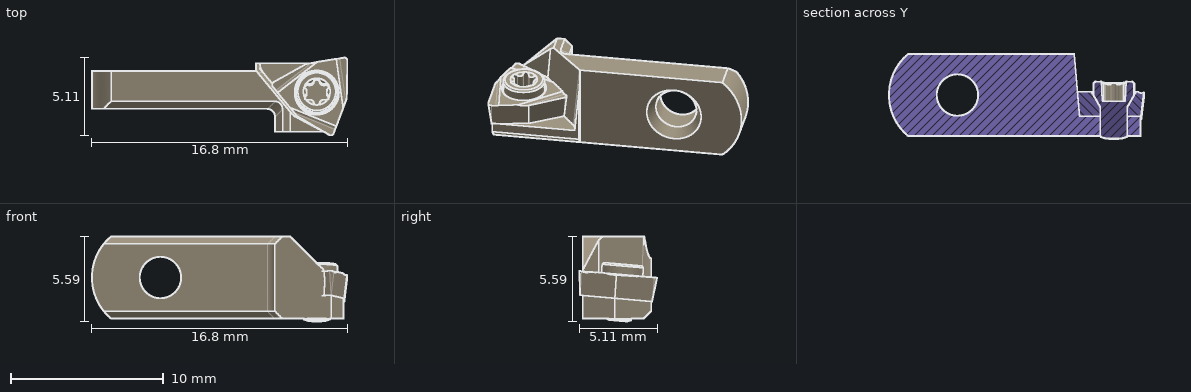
import cadquery as cq
import math


HEIGHT = 5.4
SHANK_FRONT = 1.5
SHANK_BACK = 4.0
SHANK_END_RADIUS = 3.5
HOLE_X = 4.5
HOLE_DIAMETER = 2.7
HOLE_SINK_DEPTH = 0.8
HOLE_SINK_HALF_ANGLE = 30
HEAD_FRONT_X = 12.0
HEAD_BACK_X = 10.75
HEAD_BACK = 4.5
STEP_FILLET = 0.5
EDGE_CHAMFER = 0.5
SLOPE_START_X = 13.0
HEAD_END_SETBACK = 0.04

INSCRIBED_RADIUS = 1.988
THICKNESS = 1.59
RELIEF_ANGLE = 7
NOSE_RADIUS = 0.2
TIPS = 3
TIP_SPACING = 360 / TIPS
TIP_ANGLE = 80
TIP_DIRECTION = 49.4
CUTTING_TIP = 0
FRONT_TIP = 1
REAR_TIP = 2
CORNER_OFFSET = TIP_SPACING / 2
EDGE_NORMAL_OFFSET = 90 - TIP_ANGLE / 2
CORNER_TO_NORMAL = CORNER_OFFSET - EDGE_NORMAL_OFFSET
RELIEF = math.tan(math.radians(RELIEF_ANGLE))
FLOOR_INRADIUS = INSCRIBED_RADIUS - THICKNESS * RELIEF

GROOVE_SKEW = 8.5
GROOVE_START = 1.57
GROOVE_VALLEY = 1.785
GROOVE_OUTER = 2.6
GROOVE_DEPTH = 0.07
RAKE_ANGLE = 8

SEAT_TILT = 5
SEAT_ORIGIN = (14.745, 2.44, 1.31)
POCKET_BACK_X = 11.02
POCKET_END_LEAN = 5.5
POCKET_CORNER_RADIUS = 0.95
FRONT_WALL_LEAN = 2.5
FRONT_WALL_INSET = 0.05
BEYOND = 6.0

SCREW_HEAD_RADIUS = 1.36
HEAD_PROUD = 0.68
HEAD_EDGE_CHAMFER = 0.12
SINK_RADIUS = 1.46
SINK_HALF_ANGLE = 30
SCREW_RADIUS = 0.87
SCREW_BELOW_SEAT = 1.455
SCREW_TIP_CHAMFER_LENGTH = 0.1
SCREW_TIP_CHAMFER_WIDTH = 0.3
LOBES = 6
FIRST_LOBE_DIRECTION = 90
LOBE_RADIUS = 0.89
RIDGE_RADIUS = 0.64
LOBE_FLANK_RADIUS = 0.76
LOBE_HALF_ANGLE = 14
SOCKET_DEPTH = 1.3
SOCKET_CHAMFER_RADIUS = 0.88
SOCKET_CHAMFER_DEPTH = 0.15


def polar(radius, degrees):
    angle = math.radians(degrees)
    return (radius * math.cos(angle), radius * math.sin(angle))


def on_seat(body):
    """Body moved from the global origin onto the tilted pocket floor."""
    tilt = math.radians(SEAT_TILT)
    plane = cq.Plane(origin=SEAT_ORIGIN, xDir=(1, 0, 0), normal=(0, math.sin(tilt), math.cos(tilt)))
    return cq.Workplane(body.val().moved(cq.Location(plane)))


def trigon_tip(inradius, index):
    radius = inradius / math.sin(math.radians(TIP_ANGLE / 2))
    return polar(radius, TIP_DIRECTION - index * TIP_SPACING)


def trigon_corner(inradius, index):
    radius = inradius / math.cos(math.radians(CORNER_TO_NORMAL))
    return polar(radius, TIP_DIRECTION - index * TIP_SPACING - CORNER_OFFSET)


def lofted(section_at, heights):
    """Solid with straight sides between the closed wires that section_at gives at the heights."""
    return cq.Workplane(cq.Solid.makeLoft([section_at(height) for height in heights], True))


def polygon_at(points, height):
    return cq.Wire.makePolygon([cq.Vector(x, y, height) for x, y in points], close=True)


def screw_envelope(head_radius, head_top):
    """Countersunk screw shape of revolution along the seat axis."""
    slope = math.tan(math.radians(SINK_HALF_ANGLE))
    cone_top = THICKNESS - (SINK_RADIUS - head_radius) / slope
    cone_bottom = THICKNESS - (SINK_RADIUS - SCREW_RADIUS) / slope
    return (
        cq.Workplane("XZ")
        .moveTo(0, -SCREW_BELOW_SEAT)
        .lineTo(SCREW_RADIUS, -SCREW_BELOW_SEAT)
        .lineTo(SCREW_RADIUS, cone_bottom)
        .lineTo(head_radius, cone_top)
        .lineTo(head_radius, head_top)
        .lineTo(0, head_top)
        .close()
        .revolve(360, (0, 0, 0), (0, 1, 0))
    )


def star_socket(top):
    """Six rounded lobes joined by rounded ridges."""
    pitch = 360 / LOBES
    start = polar(LOBE_FLANK_RADIUS, FIRST_LOBE_DIRECTION - LOBE_HALF_ANGLE)
    socket = cq.Workplane("XY").workplane(offset=top).moveTo(*start)
    for lobe in range(LOBES):
        middle = FIRST_LOBE_DIRECTION + lobe * pitch
        socket = socket.threePointArc(
            polar(LOBE_RADIUS, middle), polar(LOBE_FLANK_RADIUS, middle + LOBE_HALF_ANGLE)
        )
        socket = socket.threePointArc(
            polar(RIDGE_RADIUS, middle + pitch / 2),
            polar(LOBE_FLANK_RADIUS, middle + pitch - LOBE_HALF_ANGLE),
        )
    return socket.close().extrude(-SOCKET_DEPTH)


def make_screw():
    top = THICKNESS + HEAD_PROUD
    screw = screw_envelope(SCREW_HEAD_RADIUS, top)
    screw = screw.faces(">Z").chamfer(HEAD_EDGE_CHAMFER)
    screw = screw.faces("<Z").edges().chamfer(SCREW_TIP_CHAMFER_LENGTH, SCREW_TIP_CHAMFER_WIDTH)
    socket_entry = cq.Workplane(
        cq.Solid.makeCone(
            SOCKET_CHAMFER_RADIUS,
            RIDGE_RADIUS,
            SOCKET_CHAMFER_DEPTH,
            pnt=cq.Vector(0, 0, top),
            dir=cq.Vector(0, 0, -1),
        )
    )
    return on_seat(screw.cut(star_socket(top)).cut(socket_entry))


def chip_groove(index):
    """Groove falling in an arc from the top face, then rising along the rake to the cutting edge."""
    direction = TIP_DIRECTION - index * TIP_SPACING - EDGE_NORMAL_OFFSET + GROOVE_SKEW
    rake = math.tan(math.radians(RAKE_ANGLE))
    outer_rise = (GROOVE_OUTER - GROOVE_VALLEY) * rake
    profile = (
        cq.Workplane("XZ", origin=(0, BEYOND, THICKNESS))
        .moveTo(GROOVE_OUTER, outer_rise - GROOVE_DEPTH)
        .lineTo(GROOVE_VALLEY, -GROOVE_DEPTH)
        .tangentArcPoint((GROOVE_START, 0), relative=False)
        .lineTo(GROOVE_START, THICKNESS)
        .lineTo(GROOVE_OUTER, THICKNESS)
        .close()
    )
    return profile.extrude(2 * BEYOND).rotate((0, 0, 0), (0, 0, 1), direction)


def insert_section(height):
    """Trigon outline at a height; the noses are cones, so their radius shrinks towards the floor."""
    drop = (THICKNESS - height) * RELIEF
    inradius = INSCRIBED_RADIUS - drop
    nose = NOSE_RADIUS - drop
    nose_centre_radius = (INSCRIBED_RADIUS - NOSE_RADIUS) / math.sin(math.radians(TIP_ANGLE / 2))
    outline = cq.Workplane("XY").workplane(offset=height).moveTo(*trigon_corner(inradius, TIPS - 1))
    for index in range(TIPS):
        direction = TIP_DIRECTION - index * TIP_SPACING
        centre_x, centre_y = polar(nose_centre_radius, direction)
        arc = []
        for angle in (direction + EDGE_NORMAL_OFFSET, direction, direction - EDGE_NORMAL_OFFSET):
            offset_x, offset_y = polar(nose, angle)
            arc.append((centre_x + offset_x, centre_y + offset_y))
        outline = outline.lineTo(*arc[0]).threePointArc(arc[1], arc[2])
        if index < TIPS - 1:
            outline = outline.lineTo(*trigon_corner(inradius, index))
    return outline.close().val()


def make_insert():
    insert = lofted(insert_section, (0, THICKNESS))
    for index in range(TIPS):
        insert = insert.cut(chip_groove(index))
    insert = insert.cut(screw_envelope(SINK_RADIUS, THICKNESS + HEAD_PROUD))
    return on_seat(insert)


def head_end_points():
    """End of the head: follows the insert's lower outline just inside it."""
    inradius = FLOOR_INRADIUS - HEAD_END_SETBACK
    front_x, front_y = trigon_tip(inradius, FRONT_TIP)
    corner_x, corner_y = trigon_corner(inradius, CUTTING_TIP)
    back_x, back_y = trigon_tip(inradius, CUTTING_TIP)
    seat_x, seat_y, _ = SEAT_ORIGIN
    front_slope = (corner_x - front_x) / (corner_y - front_y)
    back_slope = (back_x - corner_x) / (back_y - corner_y)
    bend_x = seat_x + corner_x
    bend_y = seat_y + corner_y
    return [
        (bend_x - front_slope * bend_y, 0),
        (bend_x, bend_y),
        (bend_x + back_slope * (HEAD_BACK - bend_y), HEAD_BACK),
    ]


def holder_section(height):
    """Plan outline at a height; the front of the shank and the step recede along the edge chamfers."""
    recede = max(0, EDGE_CHAMFER - min(height, HEIGHT - height))
    front = SHANK_FRONT + recede
    step_x = HEAD_FRONT_X + recede
    arc_middle = STEP_FILLET * (1 - math.sqrt(0.5))
    outline = (
        cq.Workplane("XY")
        .workplane(offset=height)
        .moveTo(0, SHANK_BACK)
        .lineTo(0, front)
        .lineTo(step_x - STEP_FILLET, front)
        .threePointArc((step_x - arc_middle, front - arc_middle), (step_x, front - STEP_FILLET))
        .lineTo(step_x, 0)
    )
    for point in head_end_points():
        outline = outline.lineTo(*point)
    return outline.lineTo(HEAD_BACK_X, HEAD_BACK).lineTo(HEAD_BACK_X, SHANK_BACK).close().val()


def holder_blank():
    blank = lofted(holder_section, (0, EDGE_CHAMFER, HEIGHT - EDGE_CHAMFER, HEIGHT)).clean()
    flange_edge = cq.selectors.NearestToPointSelector((SLOPE_START_X, HEAD_BACK, 0))
    return blank.edges(flange_edge).chamfer(EDGE_CHAMFER)


def side_envelope():
    """Side outline: rounded shank end on the left, 45 degree slope over the head on the right."""
    middle = HEIGHT / 2
    sagitta = SHANK_END_RADIUS - math.sqrt(SHANK_END_RADIUS**2 - middle**2)
    return (
        cq.Workplane("XZ")
        .moveTo(sagitta, HEIGHT)
        .threePointArc((0, middle), (sagitta, 0))
        .lineTo(SLOPE_START_X + HEIGHT, 0)
        .lineTo(SLOPE_START_X, HEIGHT)
        .close()
        .extrude(-HEAD_BACK)
    )


def front_wall_end_y(inradius):
    """Y where the wall along the insert's front side, extended past the holder, reaches X = BEYOND."""
    corner_x, corner_y = trigon_corner(inradius, FRONT_TIP)
    tip_x, tip_y = trigon_tip(inradius, FRONT_TIP)
    return corner_y + (tip_y - corner_y) / (tip_x - corner_x) * (BEYOND - corner_x)


def pocket_outline(height):
    """Pocket outline at a height above its floor: walls along the insert's two rear sides."""
    inradius = FLOOR_INRADIUS + height * RELIEF
    corner_x, corner_y = trigon_corner(inradius, FRONT_TIP)
    tip_x, tip_y = trigon_tip(inradius, REAR_TIP)
    turn_x = POCKET_BACK_X - SEAT_ORIGIN[0] - height * math.tan(math.radians(POCKET_END_LEAN))
    turn_y = corner_y + (tip_y - corner_y) / (tip_x - corner_x) * (turn_x - corner_x)
    front_end = (BEYOND, front_wall_end_y(inradius))
    return [(turn_x, turn_y), (corner_x, corner_y), front_end, (BEYOND, BEYOND), (turn_x, BEYOND)]


def pocket():
    """Insert seat: leaning walls behind the insert, open towards the end and the back."""
    cavity = lofted(lambda height: polygon_at(pocket_outline(height), height), (0, HEIGHT))
    turn = (*pocket_outline(HEIGHT / 2)[0], HEIGHT / 2)
    turn_edge = cq.selectors.NearestToPointSelector(turn)
    return on_seat(cavity.edges(turn_edge).fillet(POCKET_CORNER_RADIUS))


def front_clearance_section(height):
    drop = (THICKNESS - height) * math.tan(math.radians(FRONT_WALL_LEAN))
    inradius = INSCRIBED_RADIUS - FRONT_WALL_INSET - drop
    corner = trigon_corner(inradius, FRONT_TIP)
    return polygon_at([corner, (BEYOND, front_wall_end_y(inradius)), (BEYOND, 0), (0, 0)], height)


def front_clearance():
    """Gap under the front cutting edge, where the pocket wall is steeper than the insert's flank."""
    return on_seat(lofted(front_clearance_section, (0, THICKNESS)))


def cross_hole():
    """Mounting hole through the shank, countersunk from the back."""
    radius = HOLE_DIAMETER / 2
    sink_radius = radius + HOLE_SINK_DEPTH * math.tan(math.radians(HOLE_SINK_HALF_ANGLE))
    centre = cq.Vector(HOLE_X, SHANK_FRONT, HEIGHT / 2)
    along = cq.Vector(0, 1, 0)
    through = cq.Solid.makeCylinder(radius, SHANK_BACK - SHANK_FRONT, centre, along)
    sink_start = centre + along * (SHANK_BACK - SHANK_FRONT - HOLE_SINK_DEPTH)
    sink = cq.Solid.makeCone(radius, sink_radius, HOLE_SINK_DEPTH, sink_start, along)
    return cq.Workplane(through.fuse(sink))


def make_holder():
    holder = holder_blank().intersect(side_envelope())
    screw_hole = on_seat(cq.Workplane("XY").circle(SCREW_RADIUS).extrude(2 * BEYOND, both=True))
    return holder.cut(cross_hole()).cut(pocket()).cut(front_clearance()).cut(screw_hole)


holder = make_holder()
insert = make_insert()
screw = make_screw()
result = cq.Compound.makeCompound([holder.solids().val(), insert.solids().val(), screw.solids().val()])